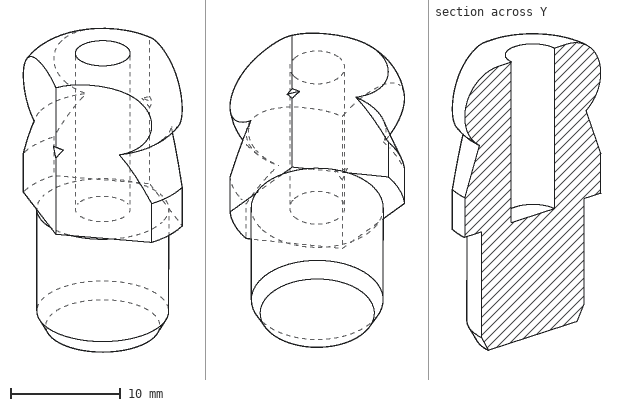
import cadquery as cq
import math

total_height = 28.0
shank_height = 12.0
cone_start_height = 16.0

shank_radius = 6.02
shank_tip_radius = 5.2
tip_chamfer_height = 1.5

head_diameter = 16.0
head_radius = head_diameter / 2
rounding_radius = head_diameter / 4
neck_cone_angle = math.radians(20)
flat_angle = math.radians(30)
width_over_edges = 13.2
flats_half_width = width_over_edges / 2

bore_diameter = 5.0
bore_depth = total_height - shank_height


def neck_point():
    """Radius and height where the neck cone meets the rounded head."""
    center_radius = head_radius - rounding_radius
    center_height = total_height - rounding_radius
    start_r = head_radius - center_radius
    start_z = cone_start_height - center_height
    direction_r = -math.sin(neck_cone_angle)
    direction_z = math.cos(neck_cone_angle)
    along = start_r * direction_r + start_z * direction_z
    offset = start_r**2 + start_z**2 - rounding_radius**2
    distance = -along - math.sqrt(along**2 - offset)
    return (
        head_radius + distance * direction_r,
        cone_start_height + distance * direction_z,
    )


def make_head():
    """Revolved head, trimmed by four flats that form a rhombus."""
    top_flat_radius = head_radius - rounding_radius
    rounding_height = total_height - rounding_radius
    turned = (
        cq.Workplane("XZ")
        .moveTo(0, shank_height)
        .lineTo(head_radius, shank_height)
        .lineTo(head_radius, cone_start_height)
        .lineTo(*neck_point())
        .threePointArc((head_radius, rounding_height), (top_flat_radius, total_height))
        .lineTo(0, total_height)
        .close()
        .revolve(360, (0, 0, 0), (0, 1, 0))
    )
    rhombus_half_length = flats_half_width / math.tan(flat_angle)
    flats = (
        cq.Workplane("XY")
        .workplane(offset=shank_height)
        .polyline([
            (rhombus_half_length, 0),
            (0, flats_half_width),
            (-rhombus_half_length, 0),
            (0, -flats_half_width),
        ])
        .close()
        .extrude(total_height - shank_height)
    )
    return turned.intersect(flats)


def make_shank():
    """Round shank with a chamfered lower end."""
    return (
        cq.Workplane("XZ")
        .polyline([
            (0, 0),
            (shank_tip_radius, 0),
            (shank_radius, tip_chamfer_height),
            (shank_radius, shank_height),
            (0, shank_height),
        ])
        .close()
        .revolve(360, (0, 0, 0), (0, 1, 0))
    )


body = make_head().union(make_shank())
result = body.faces(">Z").workplane().hole(bore_diameter, bore_depth)